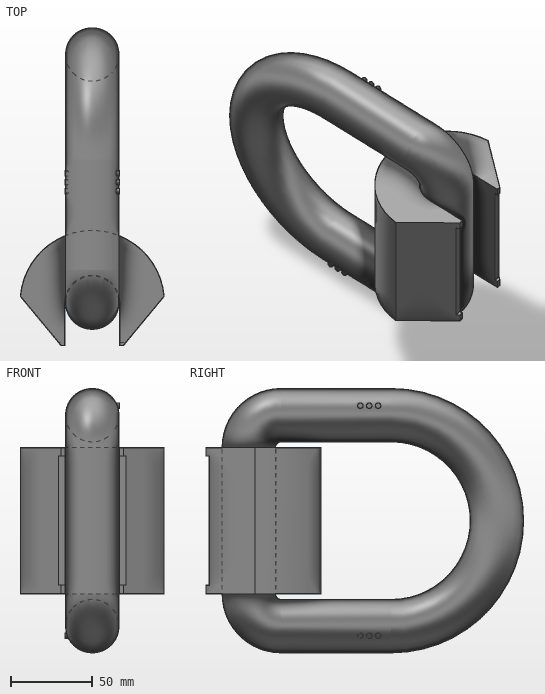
import cadquery as cq
import math

BAR_DIAMETER = 33.0
RING_HEIGHT = 163.0
PIN_LENGTH = 90.2
BOW_CENTRE_Y = 88.0

BAR_RADIUS = BAR_DIAMETER / 2
BOW_RADIUS = RING_HEIGHT / 2 - BAR_RADIUS
BEND_RADIUS = BOW_RADIUS - PIN_LENGTH / 2

STUD_DIAMETER = 3.3
STUD_TOP_X = 16.9
STUD_COUNT = 3
STUD_PITCH = 5.5
FIRST_STUD_Y = 68.8
STUD_OFFSET_Z = 71.0

HOUSING_WIDTH = 88.8
HOUSING_HEIGHT = PIN_LENGTH
CORNER_Y = 4.0
BASE_Y = -26.5
FOOT_HALF_WIDTH = 19.2
PIN_CLEARANCE = 0.4
FOOT_HEIGHT = 2.0
FOOT_LENGTH = 5.3

SADDLE_RADIUS = BAR_RADIUS + PIN_CLEARANCE
CROWN_RADIUS = math.hypot(HOUSING_WIDTH / 2, CORNER_Y)


def make_ring_bar():
    """Round bar swept along the closed D-shaped centreline."""
    pin_end_z = PIN_LENGTH / 2
    bend_mid = BEND_RADIUS * (1 - math.sqrt(0.5))
    centreline = (
        cq.Workplane("YZ")
        .moveTo(0, -pin_end_z)
        .lineTo(0, pin_end_z)
        .threePointArc((bend_mid, BOW_RADIUS - bend_mid), (BEND_RADIUS, BOW_RADIUS))
        .lineTo(BOW_CENTRE_Y, BOW_RADIUS)
        .threePointArc((BOW_CENTRE_Y + BOW_RADIUS, 0), (BOW_CENTRE_Y, -BOW_RADIUS))
        .lineTo(BEND_RADIUS, -BOW_RADIUS)
        .threePointArc((bend_mid, bend_mid - BOW_RADIUS), (0, -pin_end_z))
    )
    return (
        cq.Workplane("XY")
        .workplane(offset=-pin_end_z)
        .circle(BAR_RADIUS)
        .sweep(centreline)
    )


def make_studs(side):
    """Row of studs on the +X face (side = 1, upper leg) or the -X face (side = -1, lower leg)."""
    stud_points = [(FIRST_STUD_Y + i * STUD_PITCH, side * STUD_OFFSET_Z) for i in range(STUD_COUNT)]
    return (
        cq.Workplane("YZ")
        .pushPoints(stud_points)
        .circle(STUD_DIAMETER / 2)
        .extrude(side * STUD_TOP_X)
    )


def make_ring():
    ring = make_ring_bar()
    for side in (-1, 1):
        ring = ring.union(make_studs(side))
    return ring


def make_housing():
    half_width = HOUSING_WIDTH / 2
    body = (
        cq.Workplane("XY")
        .moveTo(-FOOT_HALF_WIDTH, BASE_Y)
        .lineTo(-half_width, CORNER_Y)
        .threePointArc((0, CROWN_RADIUS), (half_width, CORNER_Y))
        .lineTo(FOOT_HALF_WIDTH, BASE_Y)
        .lineTo(SADDLE_RADIUS, BASE_Y)
        .lineTo(SADDLE_RADIUS, 0)
        .threePointArc((0, SADDLE_RADIUS), (-SADDLE_RADIUS, 0))
        .lineTo(-SADDLE_RADIUS, BASE_Y)
        .close()
        .extrude(HOUSING_HEIGHT / 2, both=True)
    )
    relief = cq.Workplane("XY").box(
        HOUSING_WIDTH, 2 * FOOT_HEIGHT, HOUSING_HEIGHT - 2 * FOOT_LENGTH
    ).translate((0, BASE_Y, 0))
    return body.cut(relief)


ring = make_ring()
housing = make_housing()

result = cq.Compound.makeCompound([*ring.solids().vals(), *housing.solids().vals()])